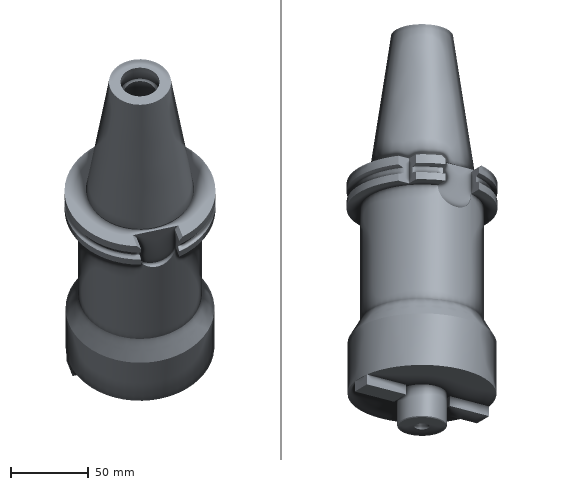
import cadquery as cq

total_height = 273.8
key_bottom_z = 16.0
head_bottom_z = 22.7
head_top_z = 58.9
body_bottom_z = 72.8
flange_height = 17.5
taper_length = 101.8
gauge_gap = 1.6
gauge_z = total_height - taper_length
flange_top_z = gauge_z - gauge_gap
flange_bottom_z = flange_top_z - flange_height

spigot_radius = 32.0 / 2
head_radius = 96.0 / 2
body_radius = 80.0 / 2
flange_radius = 97.5 / 2
neck_radius = 34.2
gauge_radius = 34.9
taper_ratio = 7 / 24
taper_top_radius = gauge_radius - taper_length * taper_ratio / 2
spigot_chamfer = 0.5

groove_top_z = flange_top_z - 6.0
groove_bottom_z = flange_top_z - 12.5
groove_depth = 3.0
groove_flank_height = 1.5

bore_steps = [(12.5, 10.5), (10.5, 46.5), (6.0, 101.8)]
through_bore_radius = 5.0

slot_width = 25.7
left_slot_floor = 37.5
right_slot_floor = 36.0
slot_chamfer = 2.5

notch_corner = 30.0

key_width = 14.2
key_inner_y = 17.0
key_outer_y = 47.4


def turned_body():
    profile = [
        (0, 0),
        (spigot_radius - spigot_chamfer, 0),
        (spigot_radius, spigot_chamfer),
        (spigot_radius, head_bottom_z),
        (head_radius, head_bottom_z),
        (head_radius, head_top_z),
        (body_radius, body_bottom_z),
        (body_radius, flange_bottom_z),
        (flange_radius, flange_bottom_z),
        (flange_radius, groove_bottom_z),
        (flange_radius - groove_depth, groove_bottom_z + groove_flank_height),
        (flange_radius - groove_depth, groove_top_z - groove_flank_height),
        (flange_radius, groove_top_z),
        (flange_radius, flange_top_z),
        (neck_radius, flange_top_z),
        (neck_radius, gauge_z),
        (gauge_radius, gauge_z),
        (taper_top_radius, total_height),
        (0, total_height),
    ]
    return cq.Workplane("XZ").polyline(profile).close().revolve(360, (0, 0, 0), (0, 1, 0))


def stepped_bore():
    bore = cq.Workplane("XY").circle(through_bore_radius).extrude(total_height)
    for radius, depth in bore_steps:
        step = cq.Workplane("XY").workplane(offset=total_height - depth).circle(radius).extrude(depth)
        bore = bore.union(step)
    return bore


def drive_slot(side, floor):
    """Round-ended slot cutter on the +X (side = 1) or -X (side = -1) flank."""
    half_width = slot_width / 2
    mouth_half_width = half_width + slot_chamfer
    return (
        cq.Workplane("YZ", origin=(side * floor, 0, 0))
        .moveTo(-half_width, flange_bottom_z)
        .lineTo(-half_width, flange_top_z - slot_chamfer)
        .lineTo(-mouth_half_width, flange_top_z)
        .lineTo(mouth_half_width, flange_top_z)
        .lineTo(half_width, flange_top_z - slot_chamfer)
        .lineTo(half_width, flange_bottom_z)
        .threePointArc((0, flange_bottom_z - half_width), (-half_width, flange_bottom_z))
        .close()
        .extrude(side * flange_radius)
    )


def orientation_notch():
    return cq.Workplane("XY").box(flange_radius, flange_radius, flange_height, centered=False).translate(
        (-notch_corner - flange_radius, notch_corner, flange_bottom_z)
    )


def drive_key(side):
    key_length = key_outer_y - key_inner_y
    key_height = head_bottom_z - key_bottom_z
    middle_y = side * (key_inner_y + key_outer_y) / 2
    return (
        cq.Workplane("XY", origin=(0, middle_y, key_bottom_z))
        .rect(key_width, key_length)
        .extrude(key_height)
    )


result = turned_body()
for side in (-1, 1):
    result = result.union(drive_key(side))
result = result.cut(stepped_bore())
result = result.cut(drive_slot(-1, left_slot_floor))
result = result.cut(drive_slot(1, right_slot_floor))
result = result.cut(orientation_notch())